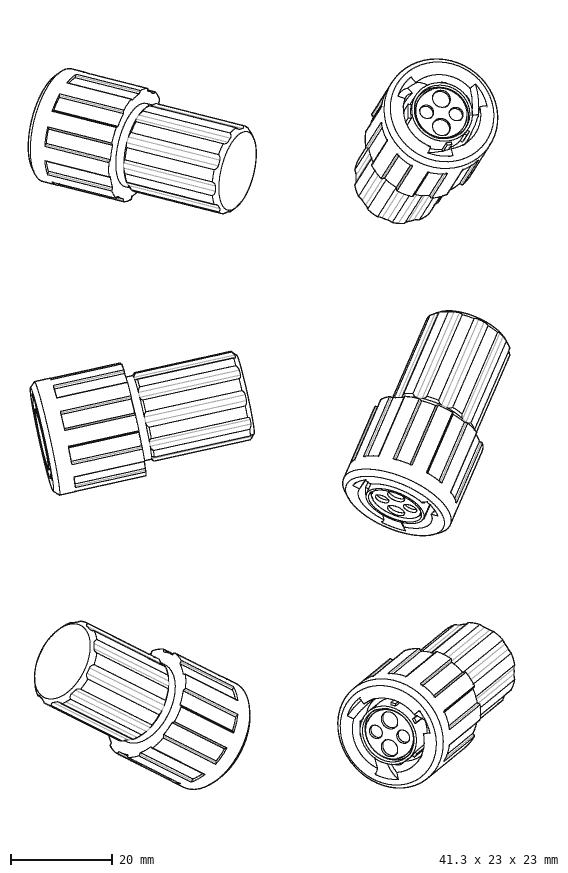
import cadquery as cq
import math


cut_clearance = 0.4

length = 41.25
collar_radius = 23.0 / 2
collar_end = 18.52
collar_chamfer = 1.05
rear_chamfer = 1.0
body_radius = 17.0 / 2

grip_count = 10
grip_pitch = 360 / grip_count
pocket_start = 4.2
pocket_edge_half_angle = 10.0
pocket_flank_half_angle = 8.75
pocket_floor_half_angle = 7.7
pocket_flank_radius = 11.25
pocket_floor_radius = 10.95
pocket_flank_sag = 0.05

rib_start = 20.3
rib_radius = 17.95 / 2
rib_root_half_angle = 14.0
rib_top_half_angle = 8.0
rib_flank_sag = 0.105

socket_mouth_radius = 7.85
socket_floor_radius = 7.25
socket_depth = 4.95
slot_mouth_radius = 18.6 / 2
slot_floor_radius = 8.62
slot_count = 3
slot_first_angle = 31.8
slot_half_angle = 15.5
slot_twist = 2 * slot_half_angle
slot_root_radius = 6.6

barrel_radius = 12.3 / 2
barrel_mouth_radius = 11.2 / 2
insert_radius = 10.4 / 2
insert_depth = 0.58
insert_gap_depth = 1.15
key_radius = 6.65
key_start = 1.05
key_width = 1.05
wide_key_width = 2.93
key_angles = [95.4, 145.5, 214.5, 255.0]
wide_key_angle = 0.0

contact_circle_radius = 2.95
large_contact_diameter = 3.6
small_contact_diameter = 2.8
contact_depth = 0.7


def polar(radius, angle):
    """Point in the YZ plane, the angle measured from +Y towards +Z."""
    turn = math.radians(angle)
    return (radius * math.cos(turn), radius * math.sin(turn))


def cross_section(x):
    return cq.Workplane("YZ", origin=(x, 0, 0))


def revolve_about_x(profile):
    """Solid of revolution from (x, radius) points, with its seam on the -Z side."""
    turned = cq.Workplane("XZ").polyline(profile).close().revolve(360, (0, 0, 0), (1, 0, 0))
    return turned.rotate((0, 0, 0), (1, 0, 0), 180)


def copies_about_x(shape, count):
    """Equally spaced copies of a shape around the X axis."""
    copies = cq.Workplane("XY")
    for index in range(count):
        copies = copies.add(shape.rotate((0, 0, 0), (1, 0, 0), index * 360 / count))
    return copies.combine()


def make_body():
    return revolve_about_x([
        (0, 0),
        (0, collar_radius - collar_chamfer),
        (collar_chamfer, collar_radius),
        (collar_end, collar_radius),
        (collar_end, rib_radius),
        (length - rear_chamfer, rib_radius),
        (length, rib_radius - rear_chamfer),
        (length, 0),
    ])


def make_grip_pockets():
    """Pockets with S-shaped flanks, open at the rear end of the collar."""
    edge = pocket_edge_half_angle
    flank = pocket_flank_half_angle
    floor = pocket_floor_half_angle
    outside_radius = collar_radius + cut_clearance
    pocket = (
        cross_section(pocket_start)
        .moveTo(*polar(outside_radius, -edge))
        .lineTo(*polar(collar_radius, -edge))
        .sagittaArc(polar(pocket_flank_radius, -flank), -pocket_flank_sag)
        .sagittaArc(polar(pocket_floor_radius, -floor), pocket_flank_sag)
        .threePointArc((pocket_floor_radius, 0), polar(pocket_floor_radius, floor))
        .sagittaArc(polar(pocket_flank_radius, flank), pocket_flank_sag)
        .sagittaArc(polar(collar_radius, edge), -pocket_flank_sag)
        .lineTo(*polar(outside_radius, edge))
        .close()
        .extrude(collar_end - pocket_start)
        .rotate((0, 0, 0), (1, 0, 0), grip_pitch / 2)
    )
    return copies_about_x(pocket, grip_count)


def make_rib_gaps():
    """Gaps between the ribs, with concave flanks running down to the body."""
    foot = grip_pitch / 2 - rib_root_half_angle
    top = grip_pitch / 2 - rib_top_half_angle
    outside_radius = rib_radius + cut_clearance
    gap = (
        cross_section(rib_start)
        .moveTo(*polar(outside_radius, -top))
        .lineTo(*polar(rib_radius, -top))
        .sagittaArc(polar(body_radius, -foot), rib_flank_sag)
        .threePointArc((body_radius, 0), polar(body_radius, foot))
        .sagittaArc(polar(rib_radius, top), rib_flank_sag)
        .lineTo(*polar(outside_radius, top))
        .close()
        .extrude(length - rib_start)
    )
    return copies_about_x(gap, grip_count)


def make_neck_groove():
    """Groove behind the collar that leaves the plain neck and bevels the rib ends at 45 degrees."""
    outside_radius = rib_radius + cut_clearance
    return revolve_about_x([
        (collar_end, body_radius),
        (rib_start, body_radius),
        (rib_start + outside_radius - body_radius, outside_radius),
        (collar_end, outside_radius),
    ])


def make_cone(mouth_radius, floor_radius):
    """Cone narrowing from the mating face to the socket floor."""
    return revolve_about_x([
        (0, 0),
        (0, mouth_radius),
        (socket_depth, floor_radius),
        (socket_depth, 0),
    ])


def make_socket():
    """Tapered ring around the barrel, widened by the bayonet slots."""
    reach = slot_mouth_radius + cut_clearance
    helical_sector = (
        cross_section(0)
        .moveTo(*polar(slot_root_radius, -slot_half_angle))
        .lineTo(*polar(reach, -slot_half_angle))
        .threePointArc((reach, 0), polar(reach, slot_half_angle))
        .lineTo(*polar(slot_root_radius, slot_half_angle))
        .close()
        .twistExtrude(socket_depth, slot_twist)
        .rotate((0, 0, 0), (1, 0, 0), slot_first_angle)
    )
    slot = make_cone(slot_mouth_radius, slot_floor_radius).intersect(helical_sector)
    slots = copies_about_x(slot, slot_count)
    barrel = cross_section(0).circle(barrel_radius).extrude(socket_depth)
    return make_cone(socket_mouth_radius, socket_floor_radius).union(slots).cut(barrel)


def make_key(angle, width):
    """Key standing on the barrel, running back to the socket floor."""
    return (
        cross_section(key_start)
        .center(key_radius / 2, 0)
        .rect(key_radius, width)
        .extrude(socket_depth - key_start)
        .rotate((0, 0, 0), (1, 0, 0), angle)
    )


def make_insert_recess():
    """Barrel mouth with an annular gap around the insert and the four contact cavities."""
    mouth = cross_section(0).circle(barrel_mouth_radius).extrude(insert_depth)
    gap = cross_section(0).circle(barrel_mouth_radius).circle(insert_radius).extrude(insert_gap_depth)
    offset = contact_circle_radius
    insert_face = cross_section(insert_depth)
    large = (
        insert_face.pushPoints([(0, offset), (0, -offset)])
        .circle(large_contact_diameter / 2)
        .extrude(contact_depth)
    )
    small = (
        insert_face.pushPoints([(offset, 0), (-offset, 0)])
        .circle(small_contact_diameter / 2)
        .extrude(contact_depth)
    )
    return mouth.union(gap).union(large).union(small)


result = (
    make_body()
    .cut(make_grip_pockets())
    .cut(make_neck_groove())
    .cut(make_rib_gaps(), clean=False)
    .cut(make_socket(), clean=False)
)
for key_angle in key_angles:
    result = result.union(make_key(key_angle, key_width), clean=False)
result = result.union(make_key(wide_key_angle, wide_key_width), clean=False)
result = result.cut(make_insert_recess(), clean=False)